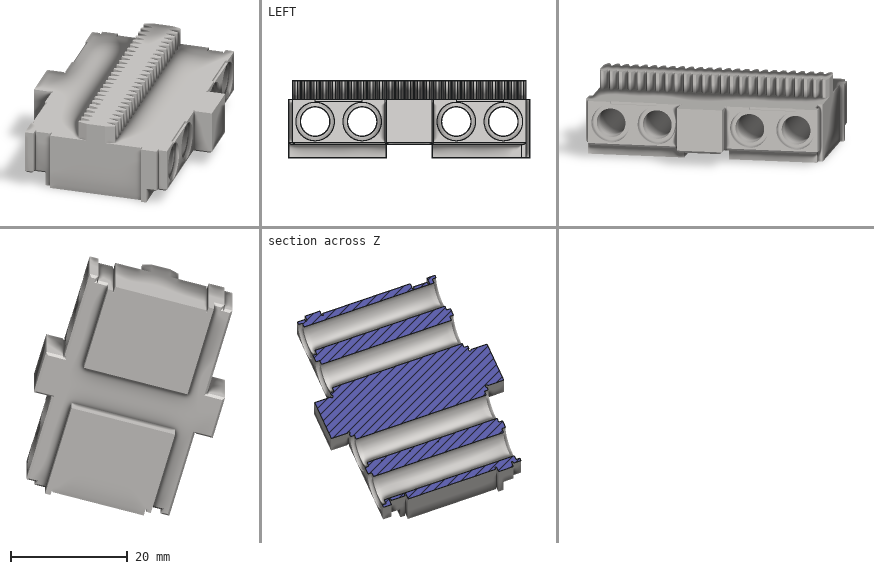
import cadquery as cq

BODY_LENGTH = 40.0
BODY_WIDTH = 25.4
DECK_HEIGHT = 10.0
TAB_REACH = 15.9
TAB_WIDTH = 7.85
TAB_RELIEF_RADIUS = 0.2

FOOT_WIDTH = 18.4
FOOT_HEIGHT = 2.25
EDGE_CHAMFER = 0.4

KEY_OFFSET = 9.65
TONGUE_WIDTH = 2.8
TONGUE_LENGTH = 0.62
GROOVE_WIDTH = 3.0
GROOVE_DEPTH = 0.78
KEY_RELIEF_WIDTH = 0.2
KEY_RELIEF_DEPTH = 0.4

RACK_HEIGHT = 3.2
TOOTH_COUNT = 25
TOOTH_PITCH = 1.61
TIP_OFFSET = 3.25
ROOT_OFFSET = 1.55
TIP_FLAT = 0.48
ROOT_FLAT = 0.2

HOLE_DIAMETER = 5.0
COUNTERBORE_DIAMETER = 6.6
COUNTERBORE_DEPTH = 0.7
HOLE_HEIGHT = 6.2
HOLE_PITCH = 5 * TOOTH_PITCH
HOLE_POSITIONS = [-2 * HOLE_PITCH, -HOLE_PITCH, HOLE_PITCH, 2 * HOLE_PITCH]

LEDGE_DEPTH = 0.4
LEDGE_HEIGHT = 0.4

HALF_LENGTH = BODY_LENGTH / 2
HALF_WIDTH = BODY_WIDTH / 2


def box_between(x_range, y_range, z_range):
    """Axis-aligned box spanning the given (low, high) ranges."""
    size = [high - low for low, high in (x_range, y_range, z_range)]
    corner = (x_range[0], y_range[0], z_range[0])
    return cq.Workplane("XY").box(*size, centered=False).translate(corner)


def half_turn(shape):
    """The same shape turned 180 degrees about Z."""
    return shape.rotate((0, 0, 0), (0, 0, 1), 180)


def tongue(bottom, top):
    """Tongue on the +Y end, at -X, rooted slightly inside the body."""
    left = -KEY_OFFSET - TONGUE_WIDTH / 2
    return box_between(
        (left, left + TONGUE_WIDTH),
        (HALF_LENGTH - KEY_RELIEF_DEPTH, HALF_LENGTH + TONGUE_LENGTH),
        (bottom, top),
    )


def groove(bottom, top):
    """Groove in the +Y end, at +X."""
    left = KEY_OFFSET - GROOVE_WIDTH / 2
    return box_between(
        (left, left + GROOVE_WIDTH),
        (HALF_LENGTH - GROOVE_DEPTH, HALF_LENGTH),
        (bottom, top),
    )


def add_keys(block, bottom, top):
    """Give both ends of a block a tongue and a groove."""
    new_tongue = tongue(bottom, top)
    new_groove = groove(bottom, top)
    block = block.union(new_tongue).union(half_turn(new_tongue))
    return block.cut(new_groove).cut(half_turn(new_groove))


def make_upper_body():
    """Wide slab with side tabs and keys, chamfered around its underside."""
    height = DECK_HEIGHT - FOOT_HEIGHT
    base = cq.Workplane("XY").workplane(offset=FOOT_HEIGHT)
    slab = base.rect(BODY_WIDTH, BODY_LENGTH).extrude(height)
    tabs = base.rect(2 * TAB_REACH, TAB_WIDTH).extrude(height)
    slab = add_keys(slab.union(tabs), FOOT_HEIGHT, DECK_HEIGHT)
    return slab.faces("<Z").edges().chamfer(EDGE_CHAMFER)


def make_foot():
    """Narrow foot with the inner parts of the keys and the cross channel."""
    top = FOOT_HEIGHT + EDGE_CHAMFER
    blank = cq.Workplane("XY").rect(BODY_WIDTH, BODY_LENGTH).extrude(top)
    keyed = add_keys(blank, 0, top)
    full_length = BODY_LENGTH + 2 * TONGUE_LENGTH
    foot = keyed.intersect(cq.Workplane("XY").rect(FOOT_WIDTH, full_length).extrude(top))
    channel = cq.Workplane("XY").rect(FOOT_WIDTH, TAB_WIDTH).extrude(FOOT_HEIGHT)
    return foot.cut(channel)


def make_key_reliefs():
    """Slits beside the tongue and in the groove corners of the +Y end."""
    tongue_left = -KEY_OFFSET - TONGUE_WIDTH / 2
    groove_left = KEY_OFFSET - GROOVE_WIDTH / 2
    groove_floor = HALF_LENGTH - GROOVE_DEPTH
    slits = [
        (tongue_left - KEY_RELIEF_WIDTH, HALF_LENGTH),
        (tongue_left + TONGUE_WIDTH, HALF_LENGTH),
        (groove_left, groove_floor),
        (groove_left + GROOVE_WIDTH - KEY_RELIEF_WIDTH, groove_floor),
    ]
    reliefs = cq.Workplane("XY")
    for left, outer in slits:
        slit = box_between(
            (left, left + KEY_RELIEF_WIDTH),
            (outer - KEY_RELIEF_DEPTH, outer),
            (0, DECK_HEIGHT),
        )
        reliefs = reliefs.add(slit)
    return reliefs.combine()


def make_tab_reliefs():
    """Round reliefs in the inner corners between the body and the tabs."""
    corners = cq.Workplane("XY").rect(BODY_WIDTH, TAB_WIDTH, forConstruction=True).vertices()
    return corners.circle(TAB_RELIEF_RADIUS).extrude(DECK_HEIGHT)


def make_cross_holes():
    """Through holes along X, counterbored on both sides."""
    centres = [(y, HOLE_HEIGHT) for y in HOLE_POSITIONS]
    side = cq.Workplane("YZ").workplane(offset=-HALF_WIDTH).pushPoints(centres)
    bores = side.circle(HOLE_DIAMETER / 2).extrude(BODY_WIDTH)
    for start in (-HALF_WIDTH, HALF_WIDTH - COUNTERBORE_DEPTH):
        plane = cq.Workplane("YZ").workplane(offset=start).pushPoints(centres)
        bores = bores.union(plane.circle(COUNTERBORE_DIAMETER / 2).extrude(COUNTERBORE_DEPTH))
    return bores


def cut_ledges(body):
    """Step the deck edge down between the holes of each pair."""
    z_range = (DECK_HEIGHT - LEDGE_HEIGHT, DECK_HEIGHT)
    for y_range in (HOLE_POSITIONS[:2], HOLE_POSITIONS[2:]):
        ledge = box_between((HALF_WIDTH - LEDGE_DEPTH, HALF_WIDTH), y_range, z_range)
        body = body.cut(ledge).cut(ledge.mirror("YZ"))
    return body


def make_rack():
    """Rack with trapezoidal teeth on both long sides, trimmed to the body length."""
    flank = (TOOTH_PITCH - TIP_FLAT - ROOT_FLAT) / 2
    right_side = []
    for index in range(TOOTH_COUNT):
        tooth_start = (index - TOOTH_COUNT / 2) * TOOTH_PITCH + ROOT_FLAT / 2
        tip_start = tooth_start + flank
        tip_end = tip_start + TIP_FLAT
        right_side += [
            (ROOT_OFFSET, tooth_start),
            (TIP_OFFSET, tip_start),
            (TIP_OFFSET, tip_end),
            (ROOT_OFFSET, tip_end + flank),
        ]
    left_side = [(-x, y) for x, y in reversed(right_side)]
    deck = cq.Workplane("XY").workplane(offset=DECK_HEIGHT)
    rack = deck.polyline(right_side + left_side).close().extrude(RACK_HEIGHT)
    return rack.intersect(deck.rect(BODY_WIDTH, BODY_LENGTH).extrude(RACK_HEIGHT))


body = make_upper_body().union(make_foot())
key_reliefs = make_key_reliefs()
body = body.cut(key_reliefs).cut(half_turn(key_reliefs))
body = body.cut(make_tab_reliefs()).cut(make_cross_holes())
body = cut_ledges(body)
result = body.union(make_rack())